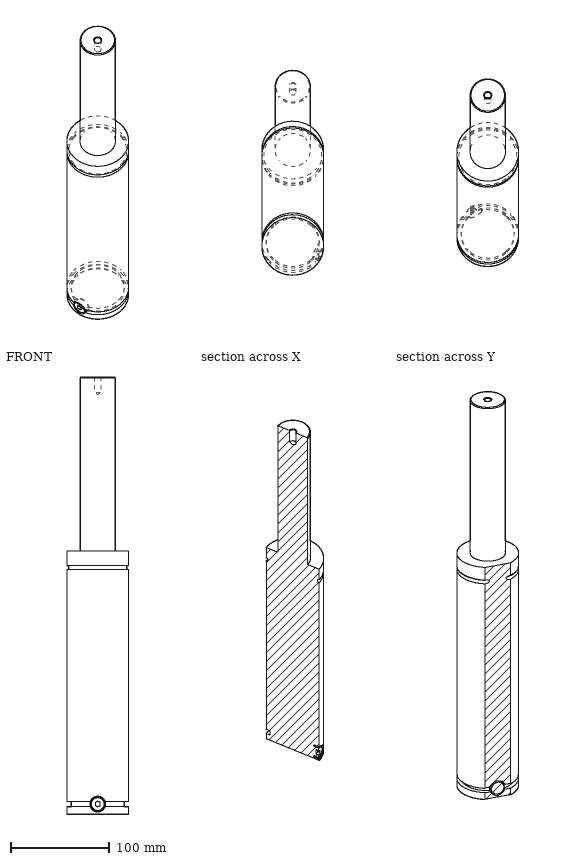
import cadquery as cq
import math

total_height = 445.0
body_height = 268.0
body_diameter = 63.0
rod_diameter = 36.0
rod_chamfer = 1.0

lower_groove_bottom = 8.0
lower_groove_width = 5.0
lower_groove_depth = 4.5

upper_groove_drop = 17.0
upper_groove_radius = 2.0

rod_hole_diameter = 6.8
rod_hole_mouth_diameter = 8.2
rod_hole_countersink_angle = 90.0
rod_hole_depth = 16.0
drill_tip_angle = 118.0

port_height = lower_groove_bottom + lower_groove_width / 2
port_bore_diameter = 16.0
port_bore_depth = 6.5

plug_diameter = 14.0
plug_chamfer = 0.5
plug_recess = 0.5
hex_sides = 6
hex_socket_width = 5.0
hex_socket_depth = 3.0

body_radius = body_diameter / 2
port_floor_y = port_bore_depth - body_radius
plug_face_y = plug_recess - body_radius


def make_cylinder():
    """Upright body with the chamfered rod standing on its axis."""
    body = cq.Workplane("XY").circle(body_radius).extrude(body_height)
    rod = cq.Workplane("XY").circle(rod_diameter / 2).extrude(total_height)
    rod = rod.faces(">Z").chamfer(rod_chamfer)
    return body.union(rod)


def make_lower_groove():
    """Ring that cuts the square groove."""
    return (
        cq.Workplane("XY", origin=(0, 0, lower_groove_bottom))
        .circle(body_diameter)
        .circle(body_radius - lower_groove_depth)
        .extrude(lower_groove_width)
    )


def make_upper_groove():
    """Torus that cuts the half-round groove."""
    profile = (
        cq.Workplane("XZ")
        .center(body_radius, body_height - upper_groove_drop)
        .circle(upper_groove_radius)
    )
    return profile.revolve(360, (-body_radius, 0, 0), (-body_radius, 1, 0))


def make_rod_hole():
    """Blind hole with a countersunk mouth and a conical drill tip."""
    hole_radius = rod_hole_diameter / 2
    mouth_radius = rod_hole_mouth_diameter / 2
    half_sink_angle = math.radians(rod_hole_countersink_angle / 2)
    half_tip_angle = math.radians(drill_tip_angle / 2)
    sink_bottom = total_height - (mouth_radius - hole_radius) / math.tan(half_sink_angle)
    hole_floor = total_height - rod_hole_depth
    tip_bottom = hole_floor - hole_radius / math.tan(half_tip_angle)
    half_section = (
        cq.Workplane("XZ")
        .moveTo(0, total_height)
        .lineTo(mouth_radius, total_height)
        .lineTo(hole_radius, sink_bottom)
        .lineTo(hole_radius, hole_floor)
        .lineTo(0, tip_bottom)
        .close()
    )
    return half_section.revolve(360, (0, 0, 0), (0, 1, 0))


def port_plane(y):
    """Plane across the port axis at the given Y; its normal points out of the body."""
    return cq.Workplane("XZ", origin=(0, y, port_height))


def make_port_bore():
    return port_plane(port_floor_y).circle(port_bore_diameter / 2).extrude(port_bore_depth)


def make_plug():
    """Round plug with a chamfered rim and a hexagon socket, rooted in the port floor."""
    plug = port_plane(port_floor_y).circle(plug_diameter / 2).extrude(port_floor_y - plug_face_y)
    plug = plug.faces("<Y").chamfer(plug_chamfer)
    hex_corner_diameter = hex_socket_width / math.cos(math.pi / hex_sides)
    socket = (
        port_plane(plug_face_y)
        .transformed(rotate=(0, 0, 180 / hex_sides))
        .polygon(hex_sides, hex_corner_diameter)
        .extrude(-hex_socket_depth)
    )
    return plug.cut(socket)


result = (
    make_cylinder()
    .cut(make_lower_groove())
    .cut(make_upper_groove())
    .cut(make_rod_hole())
    .cut(make_port_bore())
    .union(make_plug())
)